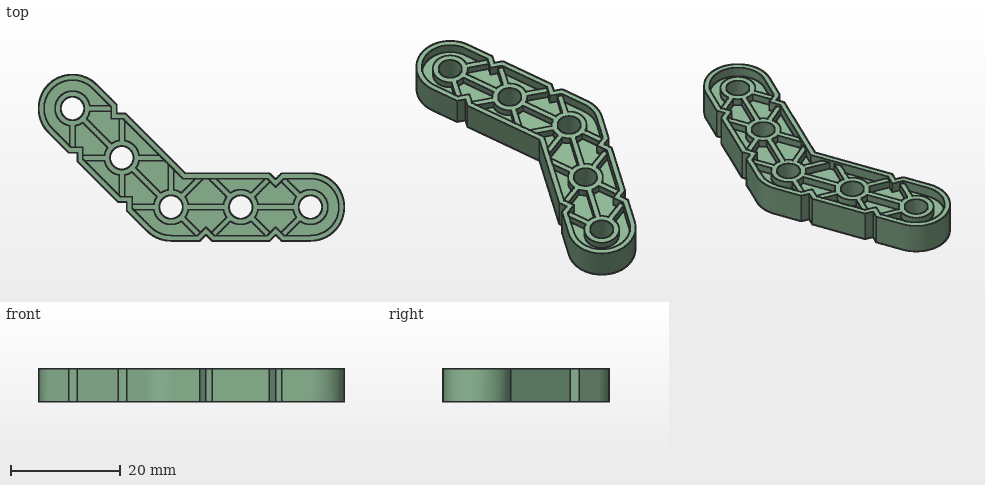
import cadquery as cq
import math

overall_length = 55.75
beam_height = 6.1
end_radius = 6.2
bend_angle = 135.0

wall_thickness = 1.0
pocket_depth = 2.0

hole_diameter = 4.25
boss_diameter = 6.35
rib_width = 1.0
rim_step = 0.55

notch_depth = 1.1

bend_cosine = math.cos(math.radians(bend_angle))
hole_pitch = (overall_length - 2 * end_radius) / (2 - 2 * bend_cosine)
leg_length = 2 * hole_pitch
floor_height = beam_height - pocket_depth
rib_height = pocket_depth - rim_step
rib_reach = end_radius * math.sqrt(2)

holes = [
    (0, 0, [45, 90, 180, 315]),
    (hole_pitch, 0, [45, 135, 225, 315]),
    (leg_length, 0, [135, 225]),
    (hole_pitch, bend_angle, [0, 90, 180, 270]),
    (leg_length, bend_angle, [0, 270]),
]

notches = [
    (0.5 * hole_pitch, 0, -1),
    (1.5 * hole_pitch, 0, -1),
    (1.5 * hole_pitch, 0, 1),
    (0.5 * hole_pitch, bend_angle, 1),
    (1.5 * hole_pitch, bend_angle, 1),
    (1.5 * hole_pitch, bend_angle, -1),
]


def leg_point(along, direction, sideways=0.0):
    """Point at a distance along a leg, shifted to the left of its direction."""
    angle = math.radians(direction)
    x = along * math.cos(angle) - sideways * math.sin(angle)
    y = along * math.sin(angle) + sideways * math.cos(angle)
    return x, y


def leg(direction, radius, height):
    """Round-ended bar from the bend hole to the last hole of a leg."""
    bar = cq.Workplane("XY").slot2D(leg_length + 2 * radius, 2 * radius).extrude(height)
    bar = bar.translate((leg_length / 2, 0, 0))
    return bar.rotate((0, 0, 0), (0, 0, 1), direction)


def notch(along, direction, side, inset, height):
    """Square post standing on its corner at the outer edge of a leg."""
    post_side = math.sqrt(2) * notch_depth + 2 * inset
    x, y = leg_point(along, direction, side * end_radius)
    post = cq.Workplane("XY").rect(post_side, post_side).extrude(height)
    return post.rotate((0, 0, 0), (0, 0, 1), direction + 45).translate((x, y, 0))


def notched_beam(inset, height):
    """Notched outline of the beam, moved inward by the inset."""
    radius = end_radius - inset
    beam = leg(0, radius, height).union(leg(bend_angle, radius, height))
    for along, direction, side in notches:
        beam = beam.cut(notch(along, direction, side, inset, height))
    return beam


def rib(start, direction, length):
    """Straight rib on the pocket floor that begins at a hole centre."""
    bar = cq.Workplane("XY").box(length, rib_width, rib_height, centered=(False, True, False))
    bar = bar.rotate((0, 0, 0), (0, 0, 1), direction)
    return bar.translate((start[0], start[1], floor_height))


def bosses_and_ribs():
    """Ring bosses, long ribs joining the holes, and short ribs to the wall."""
    grid = rib((0, 0), 0, leg_length).union(rib((0, 0), bend_angle, leg_length))
    for along, leg_direction, rib_directions in holes:
        centre = leg_point(along, leg_direction)
        boss = cq.Workplane("XY", origin=(*centre, floor_height)).circle(boss_diameter / 2)
        grid = grid.union(boss.extrude(rib_height))
        for direction in rib_directions:
            grid = grid.union(rib(centre, direction, rib_reach))
    return grid


outer_beam = notched_beam(0, beam_height)
pocket = notched_beam(wall_thickness, pocket_depth).translate((0, 0, floor_height))
shell = outer_beam.cut(pocket)

part = shell.union(bosses_and_ribs().intersect(pocket))

hole_centres = [leg_point(along, direction) for along, direction, _ in holes]
through_holes = cq.Workplane("XY").pushPoints(hole_centres).circle(hole_diameter / 2).extrude(beam_height)
result = part.cut(through_holes)